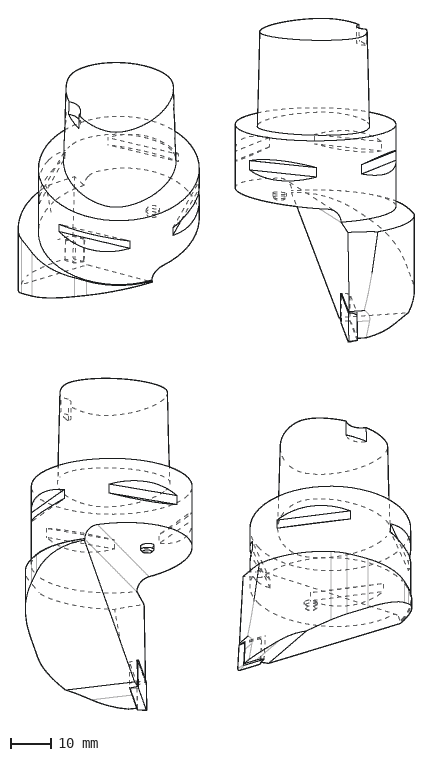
import cadquery as cq
import math


shank_length = 24.0
shank_radius = 14.0
shank_lobe = 0.9
shank_taper = 1 / 40
shank_points = 36
key_radius = 3.7
key_center_y = -14.6
key_depth = 4.15

flange_diameter = 40.0
flange_radius = flange_diameter / 2
flange_height = 20.9
groove_z = -8.0
groove_floor_height = 2.4
groove_mouth_height = 5.1
groove_floor_radius = 17.7

tip_x = -27.0
tip_z = -50.0
nose_radius = 0.4
nose_angle = 55
lean_angle = 87
trail_angle = lean_angle - nose_angle
inscribed_diameter = 6.4
insert_thickness = 2.4
insert_relief_angle = 7
insert_side = inscribed_diameter / math.sin(math.radians(nose_angle))

cone_angle = 15
outer_arc_radius = 23.6
outer_arc_x = tip_x + outer_arc_radius
outer_arc_end_x = -12.95
front_flat_y = -22.5
front_flat_left_x = -8.9
front_flat_right_x = -2.8
front_arc_radius = 20.9
front_arc_end_x = 11.0
inner_arc_radius = 20.3
inner_arc_start_x = 13.5
tool_bottom_margin = 3.7
head_bottom_z = tip_z - tool_bottom_margin

under_right_z = -21.4
step_x = -18.2
trail_clearance = 0.8
relief_arc_start_x = -22.95

lead_relief_depth = 0.45
lead_relief_top_z = -42.25
lead_relief_radius = 2.75

face_y = -0.2
gap_edge_z = -16.05
gap_slope = 4.6
gap_corner_radius = 3.55

nozzle_diameter = 3.3
nozzle_y = 9.3
nozzle_tip_z = -18.4
nozzle_chamfer = 0.5
nozzle_root = 1.5
nozzle_top_z = gap_edge_z + nozzle_root


def along(point, angle, distance):
    """Point reached from another by going a distance at an angle in degrees."""
    turn = math.radians(angle)
    return (point[0] + distance * math.cos(turn), point[1] + distance * math.sin(turn))


nose_center = (tip_x + nose_radius, tip_z + nose_radius)
apex = along(nose_center, trail_angle + nose_angle / 2,
             -nose_radius / math.sin(math.radians(nose_angle / 2)))


def lean_x(z):
    """X of the leaning leading face at a height."""
    return apex[0] + (z - apex[1]) / math.tan(math.radians(lean_angle))


def trail_z(x):
    """Height of the underside relief, parallel to the insert's lower edge."""
    return apex[1] + trail_clearance + (x - apex[0]) * math.tan(math.radians(trail_angle))


def lobed_outline(radius):
    """Points on the closed curve enveloped by the support function radius + lobe * cos(3 * turn)."""
    points = []
    for step in range(shank_points):
        turn = 2 * math.pi * step / shank_points
        support = radius + shank_lobe * math.cos(3 * turn)
        slope = -3 * shank_lobe * math.sin(3 * turn)
        up = support * math.cos(turn) - slope * math.sin(turn)
        side = support * math.sin(turn) + slope * math.cos(turn)
        points.append((-side, up))
    return points


def make_shank():
    top_radius = shank_radius - shank_taper * shank_length
    shank = (
        cq.Workplane("XY").spline(lobed_outline(shank_radius), periodic=True).close()
        .workplane(offset=shank_length).spline(lobed_outline(top_radius), periodic=True).close()
        .loft(ruled=True)
    )
    key = (
        cq.Workplane("XY", origin=(0, 0, shank_length - key_depth))
        .center(0, key_center_y).circle(key_radius).extrude(key_depth)
    )
    return shank.cut(key)


def make_flange():
    flange = cq.Workplane("XY").circle(flange_radius).extrude(-flange_height)
    depth = flange_radius - groove_floor_radius
    flare = (groove_mouth_height - groove_floor_height) / 2
    groove = (
        cq.Workplane("XZ")
        .moveTo(groove_floor_radius, groove_z - groove_floor_height / 2)
        .line(depth, -flare)
        .line(0, groove_mouth_height)
        .line(-depth, -flare)
        .close()
        .extrude(flange_radius, both=True)
    )
    for angle in (45, 135, 225, 315):
        flange = flange.cut(groove.rotate((0, 0, 0), (0, 0, 1), angle))
    return flange


def plan_prism():
    """Outline of the head seen along the axis, pulled down past the tip."""
    def circle_y(x, center_x, radius):
        return -math.sqrt(radius ** 2 - (x - center_x) ** 2)

    def outer_point(angle):
        return (outer_arc_x + outer_arc_radius * math.cos(angle), outer_arc_radius * math.sin(angle))

    outer_end_y = circle_y(outer_arc_end_x, outer_arc_x, outer_arc_radius)
    outer_mid_angle = (math.pi + math.atan2(outer_end_y, outer_arc_end_x - outer_arc_x) + 2 * math.pi) / 2
    front_arc_y = front_flat_y + front_arc_radius
    front_mid_x = (front_flat_right_x + front_arc_end_x) / 2

    def front_y(x):
        return front_arc_y + circle_y(x, front_flat_right_x, front_arc_radius)

    inner_start_y = circle_y(inner_arc_start_x, 0, inner_arc_radius)
    inner_mid_angle = math.atan2(inner_start_y, inner_arc_start_x) / 2
    inner_mid = along((0, 0), math.degrees(inner_mid_angle), inner_arc_radius)
    return (
        cq.Workplane("XY", origin=(0, 0, head_bottom_z))
        .moveTo(tip_x, 0)
        .threePointArc(outer_point(outer_mid_angle), (outer_arc_end_x, outer_end_y))
        .tangentArcPoint((front_flat_left_x, front_flat_y), relative=False)
        .lineTo(front_flat_right_x, front_flat_y)
        .threePointArc((front_mid_x, front_y(front_mid_x)), (front_arc_end_x, front_y(front_arc_end_x)))
        .lineTo(inner_arc_start_x, inner_start_y)
        .threePointArc(inner_mid, (inner_arc_radius, 0))
        .close()
        .extrude(-flange_height - head_bottom_z)
    )


def side_prism():
    """Leaning leading face and sloping underside of the head."""
    under_slope = math.tan(math.radians(trail_angle))
    step_z = under_right_z - (inner_arc_radius - step_x) * under_slope
    foot_x = lean_x(tip_z)
    foot = (foot_x, trail_z(foot_x))
    return (
        cq.Workplane("XZ")
        .moveTo(lean_x(-flange_height), -flange_height)
        .lineTo(*foot)
        .lineTo(relief_arc_start_x, trail_z(relief_arc_start_x))
        .tangentArcPoint((step_x, step_z), relative=False)
        .lineTo(inner_arc_radius, under_right_z)
        .lineTo(inner_arc_radius, -flange_height)
        .close()
        .extrude(-front_flat_y + tool_bottom_margin)
    )


def shoulder_cone():
    """Cone falling away outward from the foot of the flange."""
    drop = -flange_height - head_bottom_z
    reach = drop / math.tan(math.radians(cone_angle))
    return (
        cq.Workplane("XZ")
        .moveTo(0, -flange_height)
        .lineTo(flange_radius, -flange_height)
        .lineTo(flange_radius + reach, head_bottom_z)
        .lineTo(0, head_bottom_z)
        .close()
        .revolve(360, (0, 0, 0), (0, 1, 0))
    )


def lead_relief():
    """Shallow recess in the leading face beside the insert, with a round upper end."""
    def relief_x(z):
        return lean_x(z) + lead_relief_depth

    round_end_z = lead_relief_top_z - lead_relief_radius
    round_start = (lean_x(lead_relief_top_z), lead_relief_top_z)
    outside_x = tip_x - tool_bottom_margin
    return (
        cq.Workplane("XZ")
        .moveTo(relief_x(head_bottom_z), head_bottom_z)
        .lineTo(relief_x(round_end_z), round_end_z)
        .tangentArcPoint(round_start, relative=False)
        .lineTo(outside_x, lead_relief_top_z)
        .lineTo(outside_x, head_bottom_z)
        .close()
        .extrude(-front_flat_y)
    )


def chip_gap():
    """Space in front of the cutting face, with a gently sloping roof."""
    rise = math.tan(math.radians(gap_slope))
    roof_z = gap_edge_z - (flange_radius - face_y) * rise
    far_y = flange_radius + tool_bottom_margin
    far_z = gap_edge_z + tool_bottom_margin * rise
    return (
        cq.Workplane("YZ")
        .polyline([(face_y, head_bottom_z), (face_y, roof_z), (far_y, far_z), (far_y, head_bottom_z)])
        .close()
        .extrude(outer_arc_radius + tool_bottom_margin, both=True)
        .edges(cq.selectors.NearestToPointSelector((0, face_y, roof_z)))
        .fillet(gap_corner_radius)
    )


def make_nozzle():
    return (
        cq.Workplane("XY", origin=(0, nozzle_y, nozzle_tip_z))
        .circle(nozzle_diameter / 2)
        .extrude(nozzle_top_z - nozzle_tip_z)
        .faces("<Z").chamfer(nozzle_chamfer)
    )


def make_insert():
    lead_corner = along(apex, lean_angle, insert_side)
    trail_corner = along(apex, trail_angle, insert_side)
    far_corner = along(lead_corner, trail_angle, insert_side)
    outline = cq.Sketch().polygon([apex, trail_corner, far_corner, lead_corner, apex])
    outline = outline.vertices().fillet(nose_radius)
    return (
        cq.Workplane("XZ").placeSketch(outline)
        .extrude(insert_thickness, taper=insert_relief_angle)
    )


def make_holder(insert):
    head = plan_prism().intersect(side_prism()).intersect(shoulder_cone())
    head = head.cut(lead_relief())
    holder = make_flange().union(head).cut(chip_gap())
    holder = holder.union(make_shank()).union(make_nozzle())
    return holder.cut(insert)


insert = make_insert()
holder = make_holder(insert)

result = cq.Compound.makeCompound([*holder.vals(), insert.val()])